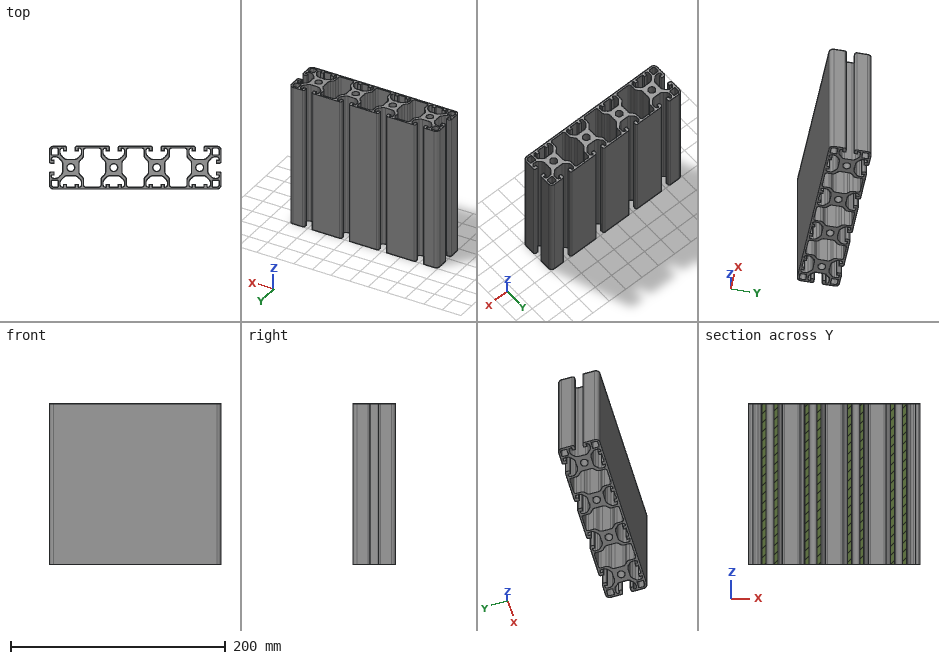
import cadquery as cq
import math

cell_count = 4
pitch = 40.0
length = 150.0
cell_half = pitch / 2
width = cell_count * pitch
corner_radius = 4.0

skin = 2.0
skin_inside = cell_half - skin
core_half = 7.7
bore_radius = 3.5
web_slot_offset = 2.4
web_chamber_offset = 2.0
web_blend = 4.0

mouth_half = 4.0
lip_outside = 7.0
lip_tip = 15.5
mouth_radius = 1.8
lip_tip_radius = 0.5
slot_half = 10.0
slot_corner_radius = 2.0

chamber_wall = 11.8
chamber_corner_radius = 2.0
pocket_corner_radius = 0.6

centres = [(i + 0.5) * pitch - width / 2 for i in range(cell_count)]


def rounded_prism(corners):
    """Extrude a closed outline of (x, y, radius) corners over the full length."""
    stations = []
    for i, (x, y, radius) in enumerate(corners):
        corner = cq.Vector(x, y)
        before = cq.Vector(*corners[i - 1][:2])
        after = cq.Vector(*corners[(i + 1) % len(corners)][:2])
        to_before = (before - corner).normalized()
        to_after = (after - corner).normalized()
        half_angle = to_before.getAngle(to_after) / 2
        setback = radius / math.tan(half_angle)
        bisector = (to_before + to_after).normalized()
        middle = corner + bisector * (radius / math.sin(half_angle) - radius)
        stations.append((corner + to_before * setback, middle, corner + to_after * setback, radius))

    outline = cq.Workplane("XY").workplane(offset=-length / 2).moveTo(*stations[0][2].toTuple()[:2])
    for start, middle, end, radius in stations[1:] + stations[:1]:
        outline = outline.lineTo(*start.toTuple()[:2])
        if radius > 0:
            outline = outline.threePointArc(middle.toTuple()[:2], end.toTuple()[:2])
    return outline.close().extrude(length)


def mirrored(right_side):
    """Complete an outline that is symmetric about the Y axis."""
    return right_side + [(-x, y, radius) for x, y, radius in reversed(right_side)]


def slot(mouth_end):
    """Slot on the +Y side of a cell, with its mouth reaching y = mouth_end."""
    return rounded_prism(mirrored([
        (mouth_half, mouth_end, 0),
        (mouth_half, lip_tip, 0),
        (lip_outside, lip_tip, 0),
        (lip_outside, skin_inside, 0),
        (slot_half, skin_inside, slot_corner_radius),
        (slot_half, slot_half + web_slot_offset, web_blend),
        (core_half - web_slot_offset, core_half, web_blend),
    ]))


def chamber():
    """Hollow between two neighbouring cells, centred on their common border."""
    wall = cell_half - chamber_wall
    waist = cell_half - core_half
    upper_right = [
        (wall, skin_inside, chamber_corner_radius),
        (wall, chamber_wall - web_chamber_offset, web_blend),
        (waist, core_half - web_chamber_offset, web_blend),
    ]
    lower_right = [(x, -y, radius) for x, y, radius in reversed(upper_right)]
    return rounded_prism(mirrored(upper_right + lower_right))


def corner_pocket():
    """Square hollow in the +X +Y corner of a cell."""
    return rounded_prism([
        (chamber_wall, chamber_wall, pocket_corner_radius),
        (skin_inside, chamber_wall, pocket_corner_radius),
        (skin_inside, skin_inside, chamber_corner_radius),
        (chamber_wall, skin_inside, pocket_corner_radius),
    ])


def turned(shape, angle):
    """Turn a shape about the Z axis."""
    return shape.rotate((0, 0, 0), (0, 0, 1), angle)


result = cq.Workplane("XY").box(width, pitch, length).edges("|Z").fillet(corner_radius)

open_slot = slot(cell_half)
closed_slot = turned(slot(skin_inside), 180)
bore = cq.Workplane("XY").circle(bore_radius).extrude(length / 2, both=True)
for x in centres:
    for hollow in (bore, open_slot, closed_slot):
        result = result.cut(hollow.translate((x, 0, 0)))

for x in centres[:-1]:
    result = result.cut(chamber().translate((x + cell_half, 0, 0)))

end_cells = [(centres[0], 90, (90, 180)), (centres[-1], -90, (0, -90))]
for x, slot_angle, pocket_angles in end_cells:
    result = result.cut(turned(open_slot, slot_angle).translate((x, 0, 0)))
    for angle in pocket_angles:
        result = result.cut(turned(corner_pocket(), angle).translate((x, 0, 0)))

for depth, radius in ((cell_half, mouth_radius), (lip_tip, lip_tip_radius)):
    for side in (-mouth_half, mouth_half):
        mouth_edges = [(x + side, depth, 0) for x in centres]
        mouth_edges.append((centres[0] - depth, side, 0))
        mouth_edges.append((centres[-1] + depth, side, 0))
        for edge_middle in mouth_edges:
            result = result.edges(cq.selectors.NearestToPointSelector(edge_middle)).fillet(radius)